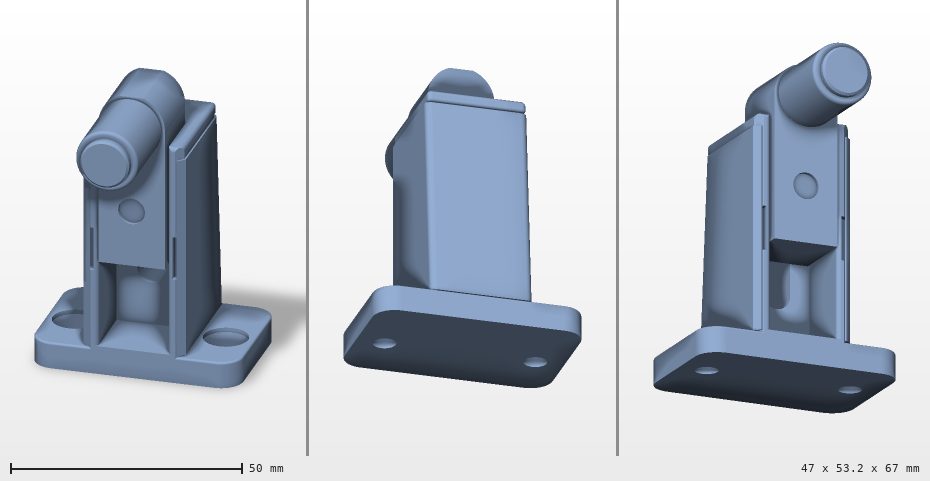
import cadquery as cq
import math


overall_height = 67.0

plate_width = 47.0
plate_depth = 31.0
plate_height = 6.0
plate_corner_radius = 5.0
plate_edge_radius = 0.5
screw_spacing = 34.05
screw_y = 13.55
screw_hole_diameter = 5.15
screw_head_diameter = 10.05
screw_head_recess = 1.0
screw_cone_depth = 2.3

tower_half_width = 11.1
tower_top = 55.55
tower_edge_radius = 1.0
back_corner_radius = 1.5
front_chamfer = 1.6
back_lean = math.tan(math.radians(5))
back_y_at_ledge = 25.9
cap_back_y = 26.65
ledge_z = 52.9
ledge_edge_radius = 0.55

channel_half_width = 7.9
channel_floor = 6.55
slot_width = 6.55
slot_low_center = 19.7

notch_bottom = 24.5
notch_top = 34.5
notch_inner_x = channel_half_width + tower_edge_radius
notch_depth = 2.0

cover_thickness = 0.4
cover_bottom = 6.35
cover_top = 52.65

arm_half_width = 7.5
arm_front = -1.0
arm_back = 14.55
arm_bottom = 27.1
arm_hole_diameter = 6.0
arm_hole_depth = 1.0
arm_hole_z = 39.9

roller_diameter = 14.0
roller_back = -1.5
roller_front = -20.4
roller_edge_radius = 0.75
roller_axis_z = overall_height - roller_diameter / 2
pin_diameter = 9.0
pin_head_diameter = 11.0
pin_front = -22.2
pin_head_chamfer = 0.5


def box(x0, x1, y0, y1, z0, z1):
    """A block between two opposite corners."""
    return cq.Workplane("XY").box(x1 - x0, y1 - y0, z1 - z0, centered=False).translate((x0, y0, z0))


def cylinder_along_y(diameter, y_front, y_back, z):
    """A cylinder along Y whose axis lies in the plane X = 0."""
    length = y_back - y_front
    return cq.Workplane("XZ", origin=(0, y_back, z)).circle(diameter / 2).extrude(length)


def upright_prism(outline):
    """A straight-sided outline in X and Y, extruded over the full height."""
    return cq.Workplane("XY").polyline(outline).close().extrude(overall_height)


def leaning_block(half_width, back_at_ledge, z0, z1):
    """A block whose back leans forward as it rises, with rounded back corners."""
    low_back = back_at_ledge + (ledge_z - z0) * back_lean
    high_back = back_at_ledge + (ledge_z - z1) * back_lean
    side_outline = [(0, z0), (low_back, z0), (high_back, z1), (0, z1)]
    block = cq.Workplane("YZ").polyline(side_outline).close().extrude(half_width, both=True)
    up_the_back = cq.selectors.ParallelDirSelector(cq.Vector(0, -back_lean, 1))
    return block.edges(up_the_back).fillet(back_corner_radius)


def bevel_front_corners(block, half_width, size):
    """Cut the two upright front corners of a block at 45 degrees."""
    for side in (-1, 1):
        corner = [(side * half_width, 0), (side * (half_width - size), 0), (side * half_width, size)]
        block = block.cut(upright_prism(corner))
    return block


def make_plate():
    plate = box(-plate_width / 2, plate_width / 2, 0, plate_depth, 0, plate_height)
    plate = plate.edges("|Z").fillet(plate_corner_radius)
    return plate.faces(">Z").edges().fillet(plate_edge_radius)


def make_screw_hole(x):
    """Through hole with a conical seat below a short straight recess."""
    hole_radius = screw_hole_diameter / 2
    head_radius = screw_head_diameter / 2
    seat_top = plate_height - screw_head_recess
    seat_bottom = seat_top - screw_cone_depth
    half_section = [
        (0, 0),
        (hole_radius, 0),
        (hole_radius, seat_bottom),
        (head_radius, seat_top),
        (head_radius, plate_height),
        (0, plate_height),
    ]
    hole = cq.Workplane("XZ").polyline(half_section).close().revolve(360, (0, 0), (0, 1))
    return hole.translate((x, screw_y, 0))


def make_tower_core():
    """The leaning part of the tower, reaching into the cap past its rounded lower edge."""
    core_top = ledge_z + ledge_edge_radius
    core = leaning_block(tower_half_width, back_y_at_ledge, 0, core_top)
    return bevel_front_corners(core, tower_half_width, front_chamfer)


def make_cap():
    """The rounded top of the tower, which overhangs the leaning back a little."""
    cap = box(-tower_half_width, tower_half_width, 0, cap_back_y, ledge_z, tower_top)
    cap = cap.edges("(|Z and >Y) or >Z").fillet(tower_edge_radius)
    cap = cap.faces("<Z").edges().fillet(ledge_edge_radius)
    return bevel_front_corners(cap, tower_half_width, front_chamfer)


def make_channel():
    """The space for the arm, flaring out at the front to round the edges of the walls."""
    half, radius = channel_half_width, tower_edge_radius
    outline = (
        cq.Workplane("XY", origin=(0, 0, channel_floor))
        .moveTo(-half - radius, 0)
        .lineTo(half + radius, 0)
        .radiusArc((half, radius), radius)
        .lineTo(half, arm_back)
        .lineTo(-half, arm_back)
        .lineTo(-half, radius)
        .radiusArc((-half - radius, 0), radius)
        .close()
    )
    return outline.extrude(overall_height)


def make_slot():
    """Upright slot through the back wall, from below the arm up to the arm's hole."""
    length = arm_hole_z - slot_low_center + slot_width
    middle_z = (arm_hole_z + slot_low_center) / 2
    slot = cq.Workplane("XZ", origin=(0, plate_depth, middle_z)).slot2D(length, slot_width, 90)
    return slot.extrude(plate_depth - arm_back)


def make_base():
    base = make_plate().union(make_tower_core()).union(make_cap())
    base = base.cut(make_channel()).cut(make_slot())
    for side in (-1, 1):
        notch_ends = sorted((side * notch_inner_x, side * tower_half_width))
        base = base.cut(box(*notch_ends, 0, notch_depth, notch_bottom, notch_top))
        base = base.cut(make_screw_hole(side * screw_spacing / 2))
    return base


def make_cover():
    half_width = tower_half_width + cover_thickness
    back_at_ledge = back_y_at_ledge + cover_thickness * math.hypot(1, back_lean)
    flange_inner_x = tower_half_width - front_chamfer
    flange_outer_x = flange_inner_x + cover_thickness * math.sqrt(2)

    cover = leaning_block(half_width, back_at_ledge, cover_bottom, cover_top)
    cover = bevel_front_corners(cover, half_width, half_width - flange_outer_x)
    cover = cover.cut(make_tower_core())

    tip_x = (flange_inner_x + flange_outer_x) / 2
    tip_y = (flange_outer_x - flange_inner_x) / 2
    for side in (-1, 1):
        flange_end = [(side * flange_inner_x, 0), (side * flange_outer_x, 0), (side * tip_x, tip_y)]
        cover = cover.cut(upright_prism(flange_end))
    return cover


def make_arm():
    arm = box(-arm_half_width, arm_half_width, arm_front, arm_back, arm_bottom, roller_axis_z)
    arm = arm.union(cylinder_along_y(2 * arm_half_width, arm_front, arm_back, roller_axis_z))
    head_top = roller_axis_z + arm_half_width
    arm = arm.cut(
        box(-arm_half_width, arm_half_width, arm_front, arm_back, overall_height, head_top)
    )
    hole_end = arm_front + arm_hole_depth
    return arm.cut(cylinder_along_y(arm_hole_diameter, arm_front, hole_end, arm_hole_z))


def make_roller():
    roller = cylinder_along_y(roller_diameter, roller_front, roller_back, roller_axis_z)
    roller = roller.edges().fillet(roller_edge_radius)
    return roller.cut(cylinder_along_y(pin_diameter, roller_front, roller_back, roller_axis_z))


def make_pin():
    head = cylinder_along_y(pin_head_diameter, pin_front, roller_front, roller_axis_z)
    head = head.faces("<Y").edges().chamfer(pin_head_chamfer)
    return head.union(cylinder_along_y(pin_diameter, roller_front, arm_front, roller_axis_z))


base = make_base()
cover = make_cover()
arm = make_arm()
roller = make_roller()
pin = make_pin()

bodies = [base, cover, arm, roller, pin]
result = cq.Compound.makeCompound([body.solids().val() for body in bodies])